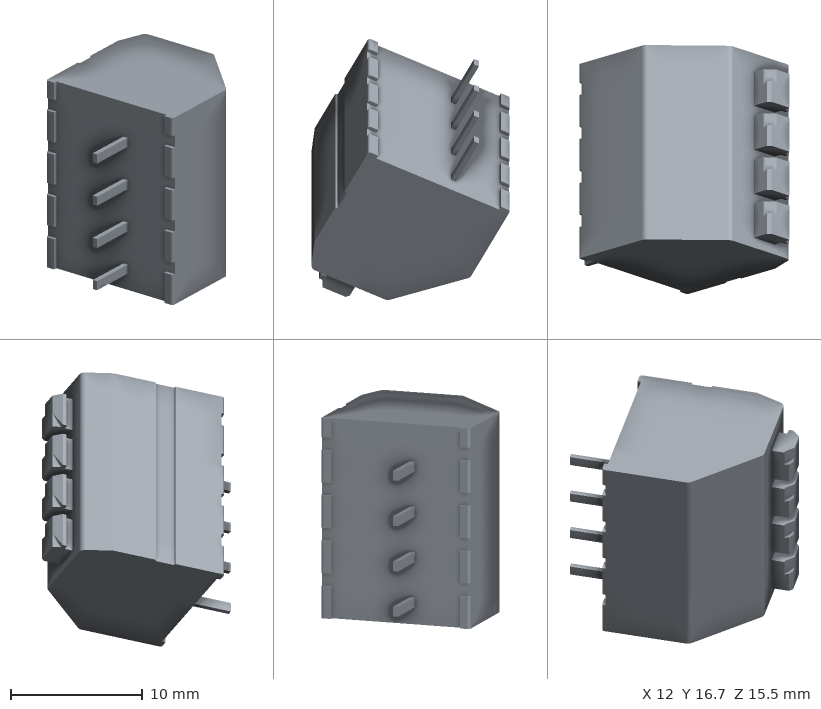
import cadquery as cq
import math

body_width = 12.0
body_height = 15.5
foot_y = 3.6
floor_y = 3.89
body_top_y = 15.1
lever_top_y = 16.7

slope_start_y = 12.76
slope_angle = 20.0
bevel_size = 4.68
corner_radius = 0.5
notch_low_y = 7.68
notch_high_y = 9.27
notch_depth = 0.18
notch_radius = 0.1

pitch = 3.5
pole_count = 4
foot_length = 2.5
foot_width = 0.8
foot_radius = 0.2

pin_x = 7.13
pin_width = 0.4
pin_height = 0.75
pin_z = 1.35

lever_z = 0.8
lever_height = 2.7
lever_hook_x = 2.02
lever_stem_x = 2.5
lever_end_x = 4.83
lever_hook_y = 15.73
lever_chamfer = 0.6
hook_radius = 0.15
end_chamfer = 0.25

chamfer_low_y = lever_top_y - lever_chamfer
recess_top_x = 4.05
recess_depth = 1.19
recess_floor_rise = 0.18
tip_cut_height = 1.19
tip_cut_angle = 20.0

select_margin = 0.02


def prism(points, bottom, height):
    """Plan outline extruded upward from the given height."""
    return cq.Workplane("XY").workplane(offset=bottom).polyline(points).close().extrude(height)


def block(x, y, z, dx, dy, dz):
    """Rectangular block placed by its lowest corner."""
    return cq.Workplane("XY").box(dx, dy, dz, centered=False).translate((x, y, z))


def edges_at(x, y):
    """Select the upright edge standing at the given plan position."""
    low_corner = (x - select_margin, y - select_margin, -select_margin)
    high_corner = (x + select_margin, y + select_margin, body_height + select_margin)
    return cq.selectors.BoxSelector(low_corner, high_corner)


def make_body():
    """Body with a sloped corner, a large bevel and a shallow groove along its -X side."""
    slope_end_x = (body_top_y - slope_start_y) * math.tan(math.radians(slope_angle))
    bevel_top_x = body_width - bevel_size
    bevel_low_y = body_top_y - bevel_size
    body = prism(
        [
            (0, floor_y),
            (body_width, floor_y),
            (body_width, bevel_low_y),
            (bevel_top_x, body_top_y),
            (slope_end_x, body_top_y),
            (0, slope_start_y),
            (0, notch_high_y),
            (notch_depth, notch_high_y),
            (notch_depth, notch_low_y),
            (0, notch_low_y),
        ],
        0,
        body_height,
    )
    for x, y in [(body_width, bevel_low_y), (bevel_top_x, body_top_y), (slope_end_x, body_top_y)]:
        body = body.edges(edges_at(x, y)).fillet(corner_radius)
    for y in (notch_low_y, notch_high_y):
        body = body.edges(edges_at(notch_depth, y)).fillet(notch_radius)
    return body


def make_foot(x, outer_x, z, length):
    """Foot starting at x, rounded along the edge at outer_x."""
    foot = block(x, foot_y, z, foot_width, floor_y - foot_y, length)
    return foot.edges(edges_at(outer_x, foot_y)).fillet(foot_radius)


def make_lever(z):
    """Hooked push lever standing on the +Y face."""
    lever = prism(
        [
            (lever_stem_x, body_top_y),
            (lever_end_x, body_top_y),
            (lever_end_x, lever_top_y - end_chamfer),
            (lever_end_x - end_chamfer, lever_top_y),
            (lever_hook_x + lever_chamfer, lever_top_y),
            (lever_hook_x, chamfer_low_y),
            (lever_hook_x, lever_hook_y),
            (lever_stem_x, lever_hook_y),
        ],
        z,
        lever_height,
    )
    lever = lever.edges(edges_at(lever_hook_x, lever_hook_y)).fillet(hook_radius)
    return lever.cut(make_end_recess(z)).cut(make_tip_cut(z))


def make_end_recess(z):
    """Recess in the upper end of a lever: a 45 degree side wall and a floor that rises toward +Y."""
    plan = prism(
        [
            (recess_top_x, lever_top_y),
            (recess_top_x + lever_chamfer, chamfer_low_y),
            (lever_end_x, chamfer_low_y),
            (lever_end_x, lever_top_y),
        ],
        z,
        lever_height,
    )
    lever_top_z = z + lever_height
    floor_low_z = lever_top_z - recess_depth
    above_floor = (
        cq.Workplane("YZ")
        .polyline(
            [
                (chamfer_low_y, floor_low_z),
                (lever_top_y, floor_low_z + recess_floor_rise),
                (lever_top_y, lever_top_z),
                (chamfer_low_y, lever_top_z),
            ]
        )
        .close()
        .extrude(lever_end_x)
    )
    return plan.intersect(above_floor)


def make_tip_cut(z):
    """Triangular cut in the lower corner of a lever's chamfer, backed by a slightly leaning wall."""
    chamfer_top_x = lever_hook_x + lever_chamfer
    wall_low_x = chamfer_top_x - lever_chamfer * math.tan(math.radians(tip_cut_angle))
    plan = prism(
        [
            (lever_hook_x, chamfer_low_y),
            (wall_low_x, chamfer_low_y),
            (chamfer_top_x, lever_top_y),
            (lever_hook_x, lever_top_y),
        ],
        z,
        tip_cut_height,
    )
    below_diagonal = (
        cq.Workplane("YZ")
        .polyline([(chamfer_low_y, z), (lever_top_y, z), (lever_top_y, z + tip_cut_height)])
        .close()
        .extrude(lever_end_x)
    )
    return plan.intersect(below_diagonal)


result = make_body()
for i in range(pole_count + 1):
    z = i * pitch
    length = min(foot_length, body_height - z)
    result = result.union(make_foot(0, 0, z, length))
    result = result.union(make_foot(body_width - foot_width, body_width, z, length))
for i in range(pole_count):
    z = i * pitch
    result = result.union(block(pin_x, 0, z + pin_z, pin_width, floor_y, pin_height))
    result = result.union(make_lever(z + lever_z))